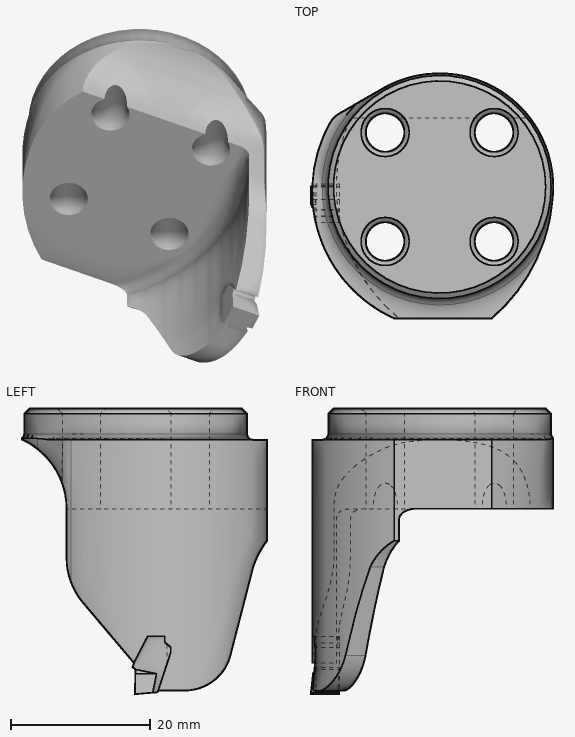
import cadquery as cq
import math

DISC_R = 16.0
DISC_CHAMFER = 0.78
FLANGE_TOP_Z = -4.5
FLARE_R = 0.9

HOLE_D = 5.5
HOLE_RIM_D = 6.9
HOLE_RIM_ANGLE = 90.0
HOLE_SPACING = 15.62

ROUND_R = 16.3
OUTER_R = 20.0
OUTER_CENTER = (1.72, -0.6)
FLAT_TANGENT_ANGLE = 120.0
SIDE_ARC_START_ANGLE = -8.0
SIDE_ARC_MID = (13.2, -11.8)
FRONT_Y = -18.85
FRONT_RIGHT_X = 7.45
OUTLINE_CORNER_R = 3.3

BOTTOM_Z = -40.45
BACK_Y = 9.92
BACK_RELIEF_R = 10.85
BACK_RELIEF_Z = -14.35
BACK_SLOPE_TOP_Z = -25.05
BACK_SLOPE_END = (0.25, -36.5)
BACK_TIP_TOP = (0.05, -37.45)
FRONT_STEP_Z = -18.95
FRONT_ARC_MID = (-17.7, -20.75)
FRONT_SLOPE_TOP = (-16.9, -22.67)
FRONT_SLOPE_BOTTOM_Y = -12.3
FRONT_TOE_R = 6.75
BACK_KNEE_R = 10.0

FLANGE_BOTTOM_Z = -14.4
INNER_WALL_R = 24.6
INNER_WALL_CENTER = (9.75, 0.2)
INNER_FILLET_R = 1.5

INSERT_OUTLINE = [
    (-1.72, -32.68), (-4.15, -32.68), (-4.22, -33.58), (-5.05, -34.25), (-5.0, -35.1),
    (-3.15, -40.7), (0.12, -41.0), (0.05, -37.45), (0.45, -37.1), (0.25, -36.5),
]
INSERT_FACE_X = -17.75
INSERT_INNER_X = -14.4
TIP_OUTLINE = [(0.05, -38.05), (-3.0, -38.05), (-2.45, -40.75), (0.12, -41.0)]
TIP_EDGE_X = -18.5
TIP_TOP_X = -18.15
RELIEF_TOP_Z = -37.45

REACH = 24.6


def polar(radius, degrees):
    angle = math.radians(degrees)
    return (radius * math.cos(angle), radius * math.sin(angle))


def outer_arc_x(y):
    """X on the outer left arc at a given Y."""
    return OUTER_CENTER[0] - math.sqrt(OUTER_R**2 - (y - OUTER_CENTER[1])**2)


def flat_corner():
    """Point where the slanted flat meets the outer left arc."""
    start = polar(ROUND_R, FLAT_TANGENT_ANGLE)
    along = polar(1.0, FLAT_TANGENT_ANGLE + 90.0)
    offset = (start[0] - OUTER_CENTER[0], start[1] - OUTER_CENTER[1])
    half_b = offset[0] * along[0] + offset[1] * along[1]
    c = offset[0]**2 + offset[1]**2 - OUTER_R**2
    length = -half_b + math.sqrt(half_b**2 - c)
    return (start[0] + length * along[0], start[1] + length * along[1])


def head_outline():
    """Head outline extruded from the underside to the top face."""
    outer_mid = (OUTER_CENTER[0] - OUTER_R, OUTER_CENTER[1])
    corner = flat_corner()
    solid = (
        cq.Workplane("XY").workplane(offset=BOTTOM_Z)
        .moveTo(*polar(ROUND_R, FLAT_TANGENT_ANGLE))
        .lineTo(*corner)
        .threePointArc(outer_mid, (outer_arc_x(FRONT_Y), FRONT_Y))
        .lineTo(FRONT_RIGHT_X, FRONT_Y)
        .threePointArc(SIDE_ARC_MID, polar(ROUND_R, SIDE_ARC_START_ANGLE))
        .threePointArc(polar(ROUND_R, FLAT_TANGENT_ANGLE / 2), polar(ROUND_R, FLAT_TANGENT_ANGLE))
        .close()
        .extrude(-BOTTOM_Z)
    )
    corner_edge = cq.selectors.NearestToPointSelector((*corner, BOTTOM_Z / 2))
    return solid.edges(corner_edge).fillet(OUTLINE_CORNER_R)


def side_profile():
    """Side profile of the head below the flange top, extruded along X."""
    relief_center_y = BACK_Y + BACK_RELIEF_R
    relief_rise = FLANGE_TOP_Z - BACK_RELIEF_Z
    relief_top_y = relief_center_y - math.sqrt(BACK_RELIEF_R**2 - relief_rise**2)
    half_angle = math.asin(relief_rise / BACK_RELIEF_R) / 2
    relief_mid = (
        relief_center_y - BACK_RELIEF_R * math.cos(half_angle),
        BACK_RELIEF_Z + BACK_RELIEF_R * math.sin(half_angle),
    )
    profile = (
        cq.Workplane("YZ").workplane(offset=-REACH)
        .moveTo(FRONT_Y, FLANGE_TOP_Z)
        .lineTo(FRONT_Y, FRONT_STEP_Z)
        .threePointArc(FRONT_ARC_MID, FRONT_SLOPE_TOP)
        .lineTo(FRONT_SLOPE_BOTTOM_Y, BOTTOM_Z)
        .lineTo(BACK_TIP_TOP[0], BOTTOM_Z)
        .lineTo(*BACK_TIP_TOP)
        .lineTo(*BACK_SLOPE_END)
        .lineTo(BACK_Y, BACK_SLOPE_TOP_Z)
        .lineTo(BACK_Y, BACK_RELIEF_Z)
        .threePointArc(relief_mid, (relief_top_y, FLANGE_TOP_Z))
        .close()
        .extrude(2 * REACH)
    )
    toe = cq.selectors.NearestToPointSelector((0, FRONT_SLOPE_BOTTOM_Y, BOTTOM_Z))
    knee = cq.selectors.NearestToPointSelector((0, BACK_Y, BACK_SLOPE_TOP_Z))
    return profile.edges(toe).fillet(FRONT_TOE_R).edges(knee).fillet(BACK_KNEE_R)


def space_under_flange():
    """Round space under the flange, with its top rim rounded."""
    return (
        cq.Workplane("XY").workplane(offset=FLANGE_BOTTOM_Z)
        .center(*INNER_WALL_CENTER)
        .circle(INNER_WALL_R)
        .extrude(BOTTOM_Z - FLANGE_BOTTOM_Z)
        .faces(">Z").edges().fillet(INNER_FILLET_R)
    )


def mounting_disc():
    """Chamfered disc with a concave flare running into the flange."""
    neck_z = FLANGE_TOP_Z + FLARE_R
    flare_mid = FLARE_R * (1 - math.sqrt(0.5))
    return (
        cq.Workplane("XZ")
        .moveTo(0, 0)
        .lineTo(DISC_R - DISC_CHAMFER, 0)
        .lineTo(DISC_R, -DISC_CHAMFER)
        .lineTo(DISC_R, neck_z)
        .threePointArc((DISC_R + flare_mid, FLANGE_TOP_Z + flare_mid), (DISC_R + FLARE_R, FLANGE_TOP_Z))
        .lineTo(0, FLANGE_TOP_Z)
        .close()
        .revolve(360, (0, 0, 0), (0, 1, 0))
    )


def insert_pocket():
    """Insert outline from its inner end out through the left side of the head."""
    return (
        cq.Workplane("YZ").workplane(offset=INSERT_INNER_X)
        .polyline(INSERT_OUTLINE).close()
        .extrude(-REACH - INSERT_INNER_X)
    )


def make_head():
    outline = head_outline()
    lower = side_profile().intersect(outline).cut(space_under_flange())
    disc = mounting_disc().intersect(outline)
    head = lower.union(disc)
    head = (
        head.faces(">Z").workplane(origin=(0, 0, 0))
        .rect(HOLE_SPACING, HOLE_SPACING, forConstruction=True)
        .vertices().cskHole(HOLE_D, HOLE_RIM_D, HOLE_RIM_ANGLE)
    )
    return head.cut(insert_pocket())


def tip_relief():
    """Small sloped corner joining the insert's flat side to its wider tip."""
    back, top_z = TIP_OUTLINE[0]
    front = TIP_OUTLINE[1][0]
    upper = cq.Vector(INSERT_FACE_X, back, RELIEF_TOP_Z)
    inner = cq.Vector(INSERT_FACE_X, back, top_z)
    outer = cq.Vector(TIP_TOP_X, back, top_z)
    end = cq.Vector(INSERT_FACE_X, front, top_z)
    triangles = [(upper, inner, outer), (upper, inner, end), (upper, outer, end), (inner, outer, end)]
    faces = [cq.Face.makeFromWires(cq.Wire.makePolygon(t, close=True)) for t in triangles]
    return cq.Workplane(cq.Solid.makeSolid(cq.Shell.makeShell(faces)))


def make_insert():
    shank = (
        cq.Workplane("YZ").workplane(offset=INSERT_INNER_X)
        .polyline(INSERT_OUTLINE).close()
        .extrude(INSERT_FACE_X - INSERT_INNER_X)
    )
    tip = (
        cq.Workplane("YZ").workplane(offset=INSERT_INNER_X)
        .polyline(TIP_OUTLINE).close()
        .extrude(TIP_EDGE_X - INSERT_INNER_X)
    )
    tip_top_z = TIP_OUTLINE[0][1]
    tip_bottom_z = TIP_OUTLINE[-1][1]
    clearance = (
        cq.Workplane("XZ").workplane(offset=-REACH)
        .polyline([(TIP_EDGE_X, tip_top_z), (TIP_TOP_X, tip_top_z), (TIP_EDGE_X, tip_bottom_z)])
        .close()
        .extrude(2 * REACH)
    )
    return shank.union(tip.cut(clearance)).union(tip_relief())


head = make_head()
insert = make_insert()
result = cq.Compound.makeCompound([head.solids().val(), insert.solids().val()])